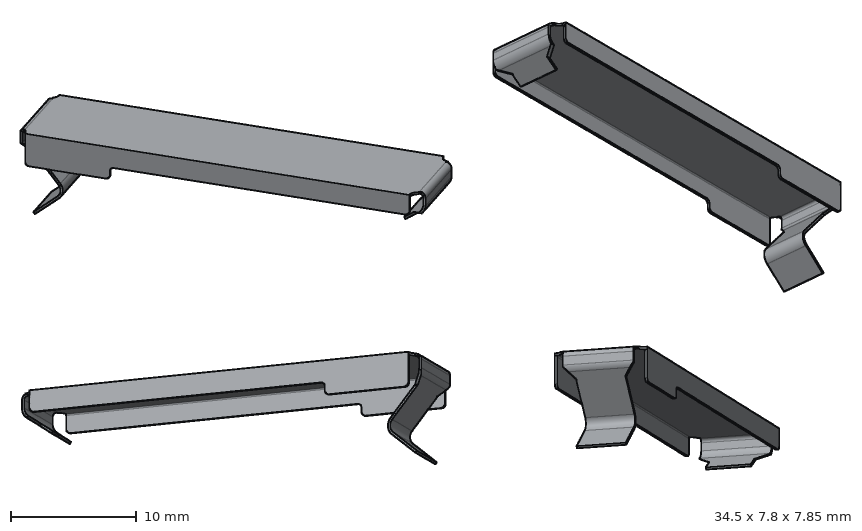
import cadquery as cq
import math

length = 34.5
width = 7.8
height = 7.85
sheet = 0.2

wall_start = 0.75
wall_end = 33.45
deep_wall = 2.83
shallow_wall = 1.8
step_x = 7.97
wall_corner_radius = 0.35
inner_bend_radius = 0.1

flap_width = 5.95
shoulder_width = 6.2
relief_radius = 0.72

latch_top_radius = 0.45
latch_shoulder_depth = sheet
latch_drop = 0.72
latch_bend_radius = 0.83
latch_bend_angle = 40.0
latch_arm = 4.2
latch_elbow_radius = 0.75
latch_tip_angle = 40.0
latch_width = 4.15
latch_taper_top = 1.35
latch_taper_bottom = 2.28

hook_top_radius = 0.52
hook_shoulder_depth = 0.05
hook_drop = 0.65
hook_bend_radius = 1.05
hook_bend_angle = 55.0
hook_arm = 2.05
hook_tip_width = 3.8
hook_taper_top = 1.93
hook_taper_bottom = 2.4


def bent_strip(start_x, pieces):
    """Strip across Y, traced toward -X from the top face with the metal on the left.

    A piece is (length, 0) for a flat or (radius, turn in degrees) for a bend.
    Positive turns are to the left.
    """
    x, z = start_x, 0
    angle = math.pi
    outer = []
    inner = []

    def left_of(px, pz, angle, distance):
        return px - distance * math.sin(angle), pz + distance * math.cos(angle)

    inner_start = left_of(x, z, angle, sheet)
    for size, turn in pieces:
        if turn == 0:
            middle = None
            x += size * math.cos(angle)
            z += size * math.sin(angle)
        else:
            side = math.copysign(1, turn)
            centre = left_of(x, z, angle, side * size)
            half_angle = angle + math.radians(turn) / 2
            angle += math.radians(turn)
            middle = left_of(*centre, half_angle, -side * size)
            middle_inner = left_of(*middle, half_angle, sheet)
            x, z = left_of(*centre, angle, -side * size)
        outer.append((middle, (x, z)))
        inner.append((middle and middle_inner, left_of(x, z, angle, sheet)))

    profile = cq.Workplane("XZ").moveTo(start_x, 0)
    for middle, end in outer:
        profile = profile.threePointArc(middle, end) if middle else profile.lineTo(*end)
    profile = profile.lineTo(*inner[-1][1])
    inner_ends = [inner_start] + [end for _, end in inner[:-1]]
    for (middle, _), end in zip(reversed(inner), reversed(inner_ends)):
        profile = profile.threePointArc(middle, end) if middle else profile.lineTo(*end)
    return profile.close().extrude(shoulder_width / 2, both=True)


def tapered_outline(shoulder_depth, tip_width, taper_top, taper_bottom, x_start):
    """Block spanning half the length that trims a strip to its shoulder, flap and tip widths."""
    shoulder_half = shoulder_width / 2
    flap_half = flap_width / 2
    tip_half = tip_width / 2
    return (
        cq.Workplane("YZ", origin=(x_start, 0, 0))
        .moveTo(-shoulder_half, 0)
        .lineTo(-shoulder_half, -shoulder_depth)
        .lineTo(-flap_half, -shoulder_depth)
        .lineTo(-flap_half, -taper_top)
        .lineTo(-tip_half, -taper_bottom)
        .lineTo(-tip_half, -height)
        .lineTo(tip_half, -height)
        .lineTo(tip_half, -taper_bottom)
        .lineTo(flap_half, -taper_top)
        .lineTo(flap_half, -shoulder_depth)
        .lineTo(shoulder_half, -shoulder_depth)
        .lineTo(shoulder_half, 0)
        .close()
        .extrude(length / 2)
    )


def channel():
    """Top with two stepped side walls."""
    body = (
        cq.Workplane("XZ")
        .moveTo(wall_start, 0)
        .lineTo(wall_start, -deep_wall)
        .lineTo(step_x, -deep_wall)
        .lineTo(step_x, -shallow_wall)
        .lineTo(wall_end, -shallow_wall)
        .lineTo(wall_end, 0)
        .close()
        .extrude(width / 2, both=True)
        .edges("|Y")
        .edges("not >Z")
        .fillet(wall_corner_radius)
    )
    cavity = (
        cq.Workplane("XY")
        .box(length, width - 2 * sheet, height, centered=(False, True, False))
        .edges("|X and >Z")
        .fillet(inner_bend_radius)
        .translate((0, 0, -height - sheet))
    )
    return body.cut(cavity)


def top_plate():
    """Flat top running out to both flap bends, with a round relief in each corner."""
    start = latch_top_radius
    end = length - hook_top_radius
    plate = (
        cq.Workplane("XY")
        .box(end - start, width, sheet, centered=(False, True, False))
        .translate((start, 0, -sheet))
    )
    relief_y = shoulder_width / 2 + relief_radius
    for x in (wall_start - relief_radius, wall_end + relief_radius):
        for side in (-1, 1):
            relief = cq.Workplane("XY").center(x, side * relief_y).circle(relief_radius).extrude(-sheet)
            opening = (
                cq.Workplane("XY")
                .center(x, side * (relief_y + relief_radius / 2))
                .rect(2 * relief_radius, relief_radius)
                .extrude(-sheet)
            )
            plate = plate.cut(relief).cut(opening)
    return plate


def latch_spring():
    elbow_turn = -(180 - latch_tip_angle - (90 - latch_bend_angle))
    tip_slope = math.radians(latch_tip_angle)
    arm_slope = math.radians(90 - latch_bend_angle)
    bend_drop = latch_bend_radius * math.sin(math.radians(latch_bend_angle))
    elbow_drop = latch_elbow_radius * (math.cos(arm_slope) + math.cos(tip_slope))
    tip_start = latch_top_radius + latch_drop + bend_drop + latch_arm * math.sin(arm_slope) + elbow_drop
    tip_length = (height - tip_start - sheet * math.cos(tip_slope)) / math.sin(tip_slope)
    strip = bent_strip(
        latch_top_radius,
        [
            (latch_top_radius, 90),
            (latch_drop, 0),
            (latch_bend_radius, latch_bend_angle),
            (latch_arm, 0),
            (latch_elbow_radius, elbow_turn),
            (tip_length, 0),
        ],
    )
    outline = tapered_outline(latch_shoulder_depth, latch_width, latch_taper_top, latch_taper_bottom, 0)
    return strip.intersect(outline)


def hook():
    strip = bent_strip(
        hook_top_radius,
        [
            (hook_top_radius, 90),
            (hook_drop, 0),
            (hook_bend_radius, hook_bend_angle),
            (hook_arm, 0),
        ],
    )
    strip = strip.mirror("YZ").translate((length, 0, 0))
    outline = tapered_outline(
        hook_shoulder_depth, hook_tip_width, hook_taper_top, hook_taper_bottom, length / 2
    )
    return strip.intersect(outline)


result = channel().union(top_plate()).union(latch_spring()).union(hook())